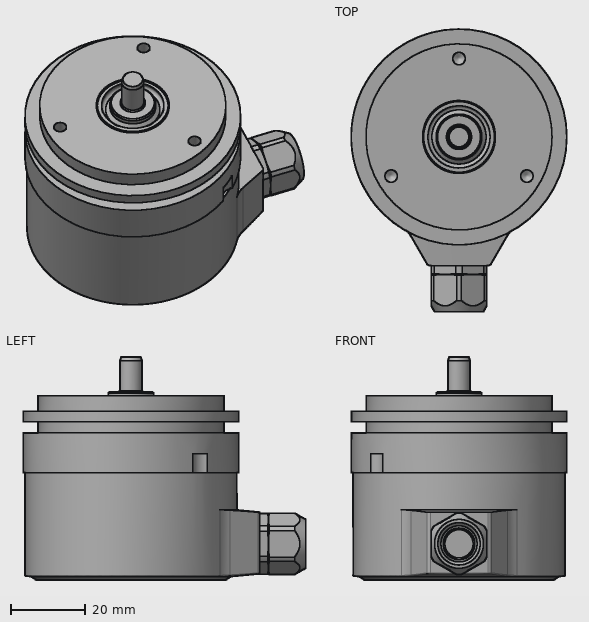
import cadquery as cq
import math

BASE_STEP_Z = 0.9
COVER_TOP_Z = 18.85
COLLAR_BAND_Z = 28.9
GROOVE_BOTTOM_Z = 39.5
GROOVE_TOP_Z = 42.5
RING_TOP_Z = 45.4
FACE_Z = 49.55
HUB_TOP_Z = 50.55
SHAFT_TOP_Z = 60.0

FLANGE_R = 28.995
BODY_R = 28.5
SPIGOT_R = 25.0
BASE_STEP_R = BODY_R - 1.6
BASE_FLOOR_R = BODY_R - 3.05

SHAFT_R = 3.0
SHAFT_TIP_R = 2.65
SHAFT_TIP_LENGTH = 1.0
SHAFT_FOOT = 0.4
HUB_R = 6.15
HUB_BEVEL = 0.4
HUB_FOOT_Z = FACE_Z - 0.6
RECESS_R = 8.35
RECESS_FLOOR_R = 7.3
RECESS_BEND_R = RECESS_R - RECESS_FLOOR_R
RECESS_DEPTH = 1.7
SEAM_INNER_R = 9.5
SEAM_OUTER_R = 9.8
SEAM_DEPTH = 0.2

HOLE_COUNT = 3
HOLE_R = 1.7
HOLE_CIRCLE_R = 21.05
HOLE_DEPTH = 7.6
HOLE_TIP_LENGTH = HOLE_R / math.tan(math.radians(60))

NOTCH_ANGLE = 220
NOTCH_R = 3.2
NOTCH_FLOOR_R = 27.7
NOTCH_TOP_Z = 33.9

BOSS_FACE_Y = -34.6
BOSS_FACE_HALF_WIDTH = 8.35
BOSS_SIDE_ANGLE = 30
BOSS_CORNER_R = 1.1
BOSS_ROOT_BLEND_R = 8.0
BOSS_SLOPE_ANGLE = 5.5
COVER_EDGE_R = 0.3

GLAND_Z = 9.7
GLAND_END_Y = -47.005
GLAND_JOINT_Y = -36.9
GLAND_FLATS = 15.0
GLAND_BASE_R = 8.2
GLAND_NUT_R = 8.3
GLAND_END_R = 6.575
GLAND_TAPER_LENGTH = 3.05
JOINT_GROOVE_HALF_WIDTH = 0.2
JOINT_GROOVE_R = 7.45
GLAND_MOUTH_R = 5.7
GLAND_SEAT_OUTER_R = 4.9
GLAND_SEAT_INNER_R = 4.25
GLAND_BORE_R = 3.8
GLAND_MOUTH_DEPTH = 0.9
GLAND_SEAT_DEPTH = 1.5
GLAND_BORE_LEAD = 0.45


def turned(profile):
    """Revolve a closed (radius, z) outline about the Z axis."""
    return cq.Workplane("XZ").polyline(profile).close().revolve(360, (0, 0, 0), (0, 1, 0))


def turned_about_gland(profile):
    """Revolve a closed (radius, y) outline about the gland axis."""
    return (
        cq.Workplane("XY", origin=(0, 0, GLAND_Z))
        .polyline(profile)
        .close()
        .revolve(360, (0, 0, 0), (0, 1, 0))
    )


def make_housing():
    return turned([
        (0, COLLAR_BAND_Z),
        (FLANGE_R, COLLAR_BAND_Z),
        (FLANGE_R, GROOVE_BOTTOM_Z),
        (SPIGOT_R, GROOVE_BOTTOM_Z),
        (SPIGOT_R, GROOVE_TOP_Z),
        (FLANGE_R, GROOVE_TOP_Z),
        (FLANGE_R, RING_TOP_Z),
        (SPIGOT_R, RING_TOP_Z),
        (SPIGOT_R, FACE_Z),
        (0, FACE_Z),
    ])


def make_recess():
    """Bowl around the hub, with a rounded outer wall, and the thin seam outside it."""
    floor_z = FACE_Z - RECESS_DEPTH
    bend_z = floor_z + RECESS_BEND_R
    bend_offset = RECESS_BEND_R * math.sqrt(0.5)
    bowl = (
        cq.Workplane("XZ")
        .moveTo(0, floor_z)
        .lineTo(RECESS_FLOOR_R, floor_z)
        .threePointArc((RECESS_FLOOR_R + bend_offset, bend_z - bend_offset), (RECESS_R, bend_z))
        .lineTo(RECESS_R, FACE_Z)
        .lineTo(0, FACE_Z)
        .close()
        .revolve(360, (0, 0, 0), (0, 1, 0))
    )
    seam = (
        cq.Workplane("XY", origin=(0, 0, FACE_Z - SEAM_DEPTH))
        .circle(SEAM_OUTER_R)
        .circle(SEAM_INNER_R)
        .extrude(SEAM_DEPTH)
    )
    return bowl.union(seam)


def make_shaft():
    """Shaft with its bevelled hub and the hub's flared foot."""
    floor_z = FACE_Z - RECESS_DEPTH
    return turned([
        (0, floor_z),
        (RECESS_FLOOR_R, floor_z),
        (HUB_R, HUB_FOOT_Z),
        (HUB_R, HUB_TOP_Z - HUB_BEVEL),
        (HUB_R - HUB_BEVEL, HUB_TOP_Z),
        (SHAFT_R + SHAFT_FOOT, HUB_TOP_Z),
        (SHAFT_R, HUB_TOP_Z + SHAFT_FOOT),
        (SHAFT_R, SHAFT_TOP_Z - SHAFT_TIP_LENGTH),
        (SHAFT_TIP_R, SHAFT_TOP_Z),
        (0, SHAFT_TOP_Z),
    ])


def make_mounting_holes():
    """Blind holes with drill-point bottoms, the first one on +Y."""
    hole = turned([
        (0, FACE_Z),
        (HOLE_R, FACE_Z),
        (HOLE_R, FACE_Z - HOLE_DEPTH),
        (0, FACE_Z - HOLE_DEPTH - HOLE_TIP_LENGTH),
    ]).translate((0, HOLE_CIRCLE_R, 0))
    holes = hole
    for index in range(1, HOLE_COUNT):
        holes = holes.union(hole.rotate((0, 0, 0), (0, 0, 1), index * 360 / HOLE_COUNT))
    return holes


def make_notch():
    centre_r = NOTCH_FLOOR_R + NOTCH_R
    angle = math.radians(NOTCH_ANGLE)
    return (
        cq.Workplane("XY", origin=(0, 0, COLLAR_BAND_Z))
        .center(centre_r * math.cos(angle), centre_r * math.sin(angle))
        .circle(NOTCH_R)
        .extrude(NOTCH_TOP_Z - COLLAR_BAND_Z)
    )


def make_cover():
    """Round cover with a wedge-shaped boss whose top and bottom slope conically outwards."""
    wedge_length = -BOSS_FACE_Y
    root_half_width = BOSS_FACE_HALF_WIDTH + wedge_length * math.tan(math.radians(BOSS_SIDE_ANGLE))
    wedge = (
        cq.Workplane("XY")
        .polyline([
            (-BOSS_FACE_HALF_WIDTH, BOSS_FACE_Y),
            (BOSS_FACE_HALF_WIDTH, BOSS_FACE_Y),
            (root_half_width, 0),
            (-root_half_width, 0),
        ])
        .close()
        .extrude(COVER_TOP_Z)
        .edges("|Z and <Y")
        .fillet(BOSS_CORNER_R)
    )
    round_cover = cq.Workplane("XY").circle(BODY_R).extrude(COLLAR_BAND_Z)
    boss_roots = cq.selectors.BoxSelector(
        (-BODY_R, BOSS_FACE_Y + 2 * BOSS_CORNER_R, 0), (BODY_R, -BODY_R / 2, COVER_TOP_Z)
    )
    outline = round_cover.union(wedge).edges("|Z").edges(boss_roots).fillet(BOSS_ROOT_BLEND_R)

    slope = math.tan(math.radians(BOSS_SLOPE_ANGLE))
    reach = BODY_R - BOSS_FACE_Y
    rim_z = BASE_STEP_Z + (BODY_R - BASE_STEP_R) * slope
    envelope = turned([
        (0, 0),
        (BASE_FLOOR_R, 0),
        (BASE_STEP_R, BASE_STEP_Z),
        (reach, BASE_STEP_Z + (reach - BASE_STEP_R) * slope),
        (reach, COVER_TOP_Z - (reach - BODY_R) * slope),
        (BODY_R, COVER_TOP_Z),
        (BODY_R, COLLAR_BAND_Z),
        (0, COLLAR_BAND_Z),
    ])
    bottom_rim = cq.selectors.BoxSelector(
        (-reach, BOSS_FACE_Y - 0.75, rim_z - 0.1), (reach, reach, rim_z + 0.75)
    )
    return outline.intersect(envelope).edges(bottom_rim).fillet(COVER_EDGE_R)


def make_gland():
    """Hexagonal gland with turned corners, a tapered end and a nick at the joint."""
    hexagon = (
        cq.Workplane("XZ", origin=(0, BOSS_FACE_Y + 0.75, GLAND_Z))
        .polygon(6, GLAND_FLATS, circumscribed=True)
        .extrude(BOSS_FACE_Y + 0.75 - GLAND_END_Y)
    )
    envelope = turned_about_gland([
        (0, BOSS_FACE_Y + 0.75),
        (GLAND_BASE_R, BOSS_FACE_Y + 0.75),
        (GLAND_BASE_R, GLAND_JOINT_Y + JOINT_GROOVE_HALF_WIDTH),
        (JOINT_GROOVE_R, GLAND_JOINT_Y),
        (GLAND_NUT_R, GLAND_JOINT_Y - JOINT_GROOVE_HALF_WIDTH),
        (GLAND_NUT_R, GLAND_END_Y + GLAND_TAPER_LENGTH),
        (GLAND_END_R, GLAND_END_Y),
        (0, GLAND_END_Y),
    ])
    seat_y = GLAND_END_Y + GLAND_SEAT_DEPTH
    bore = turned_about_gland([
        (0, GLAND_END_Y),
        (GLAND_MOUTH_R, GLAND_END_Y),
        (GLAND_SEAT_OUTER_R, GLAND_END_Y + GLAND_MOUTH_DEPTH),
        (GLAND_SEAT_OUTER_R, seat_y),
        (GLAND_SEAT_INNER_R, seat_y),
        (GLAND_BORE_R, seat_y + GLAND_BORE_LEAD),
        (GLAND_BORE_R, BOSS_FACE_Y),
        (0, BOSS_FACE_Y),
    ])
    return hexagon.intersect(envelope).cut(bore)


result = (
    make_housing()
    .cut(make_recess())
    .cut(make_mounting_holes())
    .cut(make_notch())
    .union(make_cover())
    .union(make_shaft())
    .union(make_gland())
)